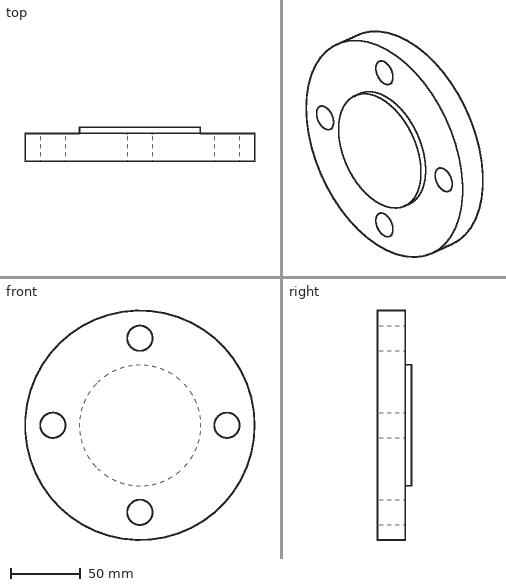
import cadquery as cq

flange_diameter = 165.0
flange_thickness = 20.0
raised_face_diameter = 87.0
raised_face_height = 4.5
bolt_circle_diameter = 125.0
bolt_hole_diameter = 18.0
bolt_hole_count = 4


def disc(diameter, thickness, start_y):
    """Solid disc from start_y towards +Y, centred on the Y axis."""
    plane = cq.Workplane("XZ", origin=(0, start_y, 0))
    return plane.circle(diameter / 2).extrude(-thickness)


def bolt_holes():
    """Through-hole cutters evenly spaced on the bolt circle."""
    return (
        cq.Workplane("XZ")
        .polarArray(bolt_circle_diameter / 2, 0, 360, bolt_hole_count)
        .circle(bolt_hole_diameter / 2)
        .extrude(-flange_thickness)
    )


flange = disc(flange_diameter, flange_thickness, 0)
raised_face = disc(raised_face_diameter, raised_face_height, flange_thickness)
result = flange.union(raised_face).cut(bolt_holes())